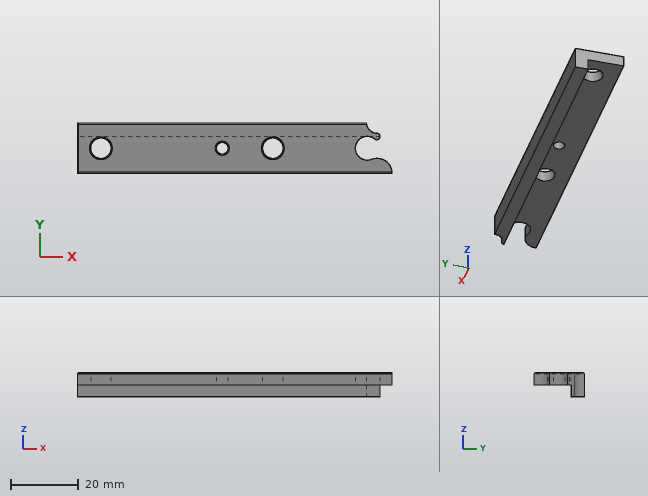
import cadquery as cq
import math

LENGTH = 93.4
WIDTH = 15.0
HEIGHT = 7.25
PLATE_THICKNESS = 3.75
RAIL_WIDTH = 4.0
EDGE_CHAMFER = 0.4

CENTRE_Y = WIDTH / 2
HOLE_CHAMFER = 0.4
LARGE_HOLE_DIAMETER = 6.0
SMALL_HOLE_DIAMETER = 3.4
LARGE_HOLE_X = (7.0, 58.0)
SMALL_HOLE_X = 43.0

NOSE_RADIUS = 4.5
NOTCH_RADIUS = 3.5
NOTCH_X = 86.0
TIP_RADIUS = 1.0
RELIEF_RADIUS = 3.0

RAIL_INNER_Y = WIDTH - RAIL_WIDTH
PLATE_BOTTOM_Z = HEIGHT - PLATE_THICKNESS


def tangent_offset(radius_a, radius_b, cross_offset):
    """Distance along one axis between the centres of two touching circles, given the other distance."""
    return math.sqrt((radius_a + radius_b) ** 2 - cross_offset**2)


def point_towards(centre, radius, target):
    """Point on a circle in the direction of a target point."""
    dx = target[0] - centre[0]
    dy = target[1] - centre[1]
    scale = radius / math.hypot(dx, dy)
    return (centre[0] + dx * scale, centre[1] + dy * scale)


def hooked_outline():
    """Closed plan outline of the plate, with the hooked end on the +X side."""
    notch = (NOTCH_X, CENTRE_Y)
    nose_x = LENGTH - NOSE_RADIUS
    nose = (nose_x, CENTRE_Y - tangent_offset(NOSE_RADIUS, NOTCH_RADIUS, nose_x - NOTCH_X))
    tip_y = WIDTH - RELIEF_RADIUS - TIP_RADIUS
    tip = (notch[0] + tangent_offset(NOTCH_RADIUS, TIP_RADIUS, tip_y - CENTRE_Y), tip_y)
    relief = (tip[0], WIDTH)

    nose_to_notch = point_towards(nose, NOSE_RADIUS, notch)
    notch_to_tip = point_towards(notch, NOTCH_RADIUS, tip)
    tip_to_relief = point_towards(tip, TIP_RADIUS, relief)
    nose_foot = (nose[0] + math.sqrt(NOSE_RADIUS**2 - nose[1] ** 2), 0)
    nose_middle = point_towards(nose, NOSE_RADIUS, (LENGTH, NOSE_RADIUS))
    relief_middle = point_towards(relief, RELIEF_RADIUS, (tip[0] - RELIEF_RADIUS, tip[1]))

    return (
        cq.Workplane("XY")
        .moveTo(0, 0)
        .lineTo(*nose_foot)
        .threePointArc(nose_middle, nose_to_notch)
        .threePointArc((notch[0] - NOTCH_RADIUS, notch[1]), notch_to_tip)
        .threePointArc((tip[0] + TIP_RADIUS, tip[1]), tip_to_relief)
        .threePointArc(relief_middle, (relief[0] - RELIEF_RADIUS, WIDTH))
        .lineTo(0, WIDTH)
        .close()
    )


def make_body():
    """Hooked plate with the rail left standing below its +Y edge."""
    below_plate = cq.Workplane("XY").box(LENGTH, RAIL_INNER_Y, PLATE_BOTTOM_Z, centered=False)
    return hooked_outline().extrude(HEIGHT).cut(below_plate)


def bevelled_envelope():
    """Block bevelled round its top; it overruns the +X end so only the other three edges are bevelled."""
    bevel_length = LENGTH + 2 * EDGE_CHAMFER
    return (
        cq.Workplane("XY")
        .box(bevel_length, WIDTH, HEIGHT, centered=False)
        .faces(">Z")
        .chamfer(EDGE_CHAMFER)
    )


def chamfered_hole(x, diameter):
    """Cutter for a through hole with a chamfered mouth on the top face."""
    radius = diameter / 2
    mouth_radius = radius + HOLE_CHAMFER
    return (
        cq.Workplane("XZ")
        .lineTo(radius, 0)
        .lineTo(radius, HEIGHT - HOLE_CHAMFER)
        .lineTo(mouth_radius, HEIGHT)
        .lineTo(0, HEIGHT)
        .close()
        .revolve(360, (0, 0, 0), (0, 1, 0))
        .translate((x, CENTRE_Y, 0))
    )


result = make_body().intersect(bevelled_envelope())
for hole_x in LARGE_HOLE_X:
    result = result.cut(chamfered_hole(hole_x, LARGE_HOLE_DIAMETER))
result = result.cut(chamfered_hole(SMALL_HOLE_X, SMALL_HOLE_DIAMETER))